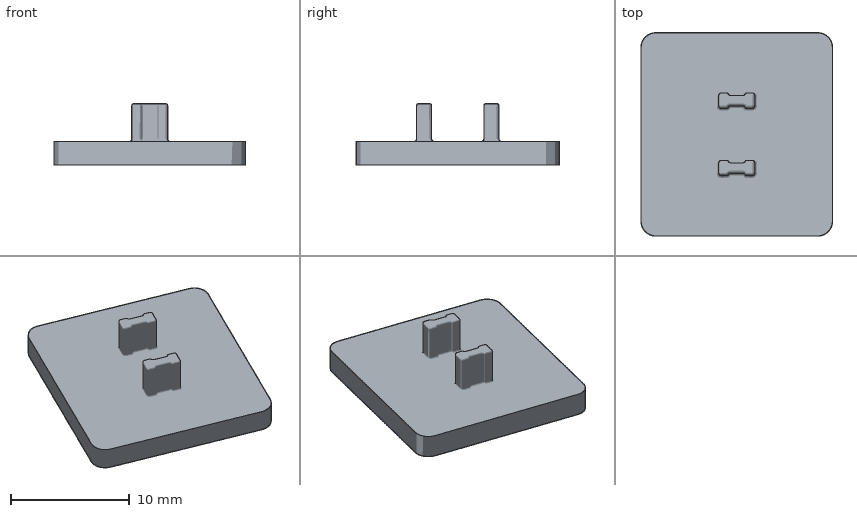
import cadquery as cq
import math

plate_length = 16.15
plate_width = 17.15
plate_thickness = 2.0
plate_corner_radius = 1.25

total_height = 5.2
post_height = total_height - plate_thickness
post_spacing = 5.68
post_length = 3.04
post_width = 1.29
edge_radius = 0.2

waist_width = 0.9
waist_length = 1.03
shoulder_radius = 0.14
root_radius = 0.22

selection_margin = 0.02


def make_plate():
    """Flat plate with rounded vertical corners, resting on Z = 0."""
    plate = cq.Workplane("XY").box(
        plate_length, plate_width, plate_thickness, centered=(True, True, False)
    )
    return plate.edges("|Z").fillet(plate_corner_radius)


def make_post():
    """Waisted post centred on the plate top, with rounded end corners and top rim."""
    half_length = post_length / 2
    half_width = post_width / 2
    half_waist = waist_width / 2
    root_x = waist_length / 2

    recess_depth = half_width - half_waist
    radius_sum = root_radius + shoulder_radius
    turn = math.acos(1 - recess_depth / radius_sum)
    middle_x = root_x + root_radius * math.sin(turn)
    middle_y = half_waist + root_radius * (1 - math.cos(turn))
    shoulder_x = root_x + radius_sum * math.sin(turn)

    outline = cq.Workplane("XY", origin=(0, 0, plate_thickness))
    outline = outline.moveTo(-half_length, -half_width)
    for way in (1, -1):
        outline = (
            outline.lineTo(-way * shoulder_x, -way * half_width)
            .tangentArcPoint((-way * middle_x, -way * middle_y), relative=False)
            .tangentArcPoint((-way * root_x, -way * half_waist), relative=False)
            .lineTo(way * root_x, -way * half_waist)
            .tangentArcPoint((way * middle_x, -way * middle_y), relative=False)
            .tangentArcPoint((way * shoulder_x, -way * half_width), relative=False)
            .lineTo(way * half_length, -way * half_width)
        )
        if way == 1:
            outline = outline.lineTo(half_length, half_width)
    post = outline.close().extrude(post_height)

    post = post.faces("<X or >X").edges("|Z").fillet(edge_radius)
    return post.faces(">Z").edges().fillet(edge_radius)


def foot_edges(center_y):
    """Selector for the edges where one post meets the top of the plate."""
    reach_x = post_length / 2 + selection_margin
    reach_y = post_width / 2 + selection_margin
    return cq.selectors.BoxSelector(
        (-reach_x, center_y - reach_y, plate_thickness - selection_margin),
        (reach_x, center_y + reach_y, plate_thickness + selection_margin),
    )


result = make_plate()
post = make_post()
for center_y in (-post_spacing / 2, post_spacing / 2):
    result = result.union(post.translate((0, center_y, 0)))
    result = result.edges(foot_edges(center_y)).fillet(edge_radius)